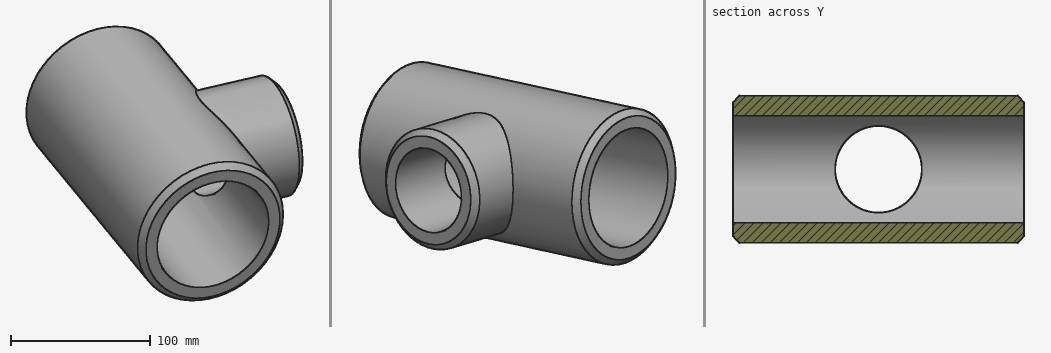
import cadquery as cq

run_length = 209.3
run_diameter = 114.3
wall = 13.4
run_bore = run_diameter - 2 * wall

branch_diameter = 89.0
branch_bore = branch_diameter - 2 * wall
total_depth = 155.7
branch_reach = total_depth - run_diameter / 2

bevel = 4.5


def run_cylinder(diameter):
    """Full-length cylinder centred on the X axis."""
    return cq.Workplane("YZ").circle(diameter / 2).extrude(run_length / 2, both=True)


def branch_cylinder(diameter):
    """Cylinder from the run axis to the branch end."""
    return cq.Workplane("XZ").circle(diameter / 2).extrude(-branch_reach)


run = run_cylinder(run_diameter).faces("<X or >X").edges().chamfer(bevel)
branch = branch_cylinder(branch_diameter).faces(">Y").edges().chamfer(bevel)

result = run.union(branch).cut(run_cylinder(run_bore)).cut(branch_cylinder(branch_bore))